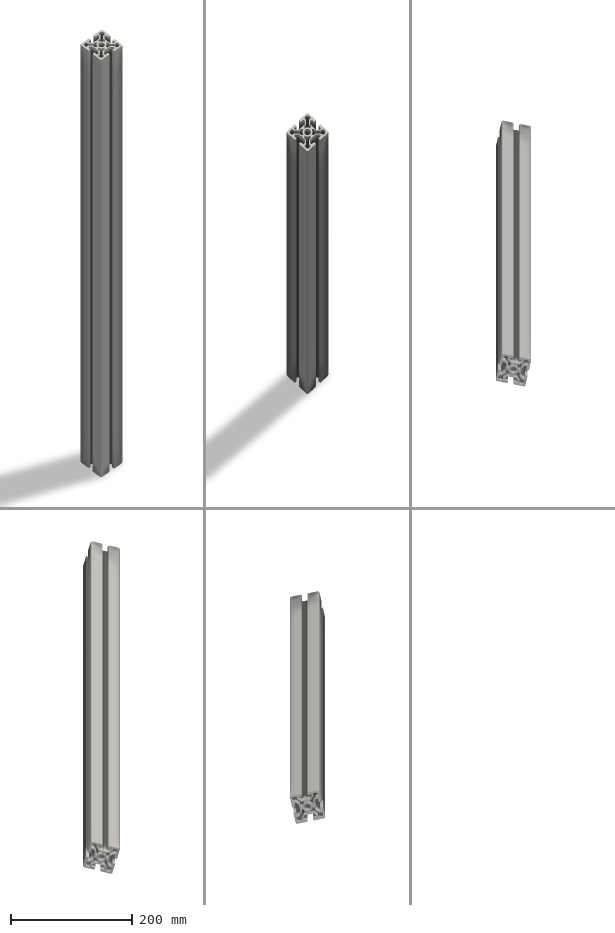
import cadquery as cq
import math

side = 50.0
length = 1000.0
corner_radius = 2.5

mouth_width = 9.8
mouth_radius = 0.5
lip_thickness = 4.5
chamber_width = 22.0
flank_start_depth = 8.0
slot_depth = 12.0
groove_width = 1.8
groove_depth = 0.8

corner_wall = 2.85
hollow_size = 8.35
hollow_outer_radius = 4.4
hollow_side_radius = 2.6
channel_offset = 3.3
floor_thickness = 1.6
rib_outer_width = 6.6
rib_inner_width = 3.0

bore_radius = 5.5
tube_radius = 8.1

half = side / 2
mouth = mouth_width / 2
roof = half - lip_thickness
chamber = chamber_width / 2
flank_start = half - flank_start_depth
floor = half - slot_depth
floor_half = chamber - (flank_start - floor)
groove = groove_width / 2
hollow_outer = half - corner_wall
hollow_inner = hollow_outer - hollow_size
pocket_outer = floor - floor_thickness
rib_outer = rib_outer_width / 2
rib_inner = rib_inner_width / 2
rib_foot = math.sqrt(tube_radius**2 - rib_inner**2)
diagonal = math.sqrt(0.5)
arc_sag = 1 - diagonal


def slot_half():
    """Right half of the T-slot on the +Y side, from the slot's middle plane outwards."""
    sag = mouth_radius * arc_sag
    return (
        cq.Workplane("XY")
        .moveTo(0, half)
        .lineTo(mouth + mouth_radius, half)
        .threePointArc((mouth + sag, half - sag), (mouth, half - mouth_radius))
        .lineTo(mouth, roof)
        .lineTo(chamber, roof)
        .lineTo(chamber, flank_start)
        .lineTo(floor_half, floor)
        .lineTo(groove, floor)
        .lineTo(0, floor - groove_depth)
        .close()
        .extrude(length)
    )


def corner_hollow():
    """Hollow of the +X +Y corner with its channel and the pockets on both sides of the diagonal."""
    outer_sag = hollow_outer_radius * arc_sag
    side_sag = hollow_side_radius * arc_sag
    return (
        cq.Workplane("XY")
        .moveTo(hollow_outer - hollow_outer_radius, hollow_outer)
        .lineTo(hollow_inner + hollow_side_radius, hollow_outer)
        .threePointArc(
            (hollow_inner + side_sag, hollow_outer - side_sag),
            (hollow_inner, hollow_outer - hollow_side_radius),
        )
        .lineTo(hollow_inner, hollow_inner + channel_offset)
        .lineTo(pocket_outer - channel_offset, pocket_outer)
        .lineTo(rib_outer, pocket_outer)
        .lineTo(rib_inner, rib_foot)
        .threePointArc((tube_radius * diagonal, tube_radius * diagonal), (rib_foot, rib_inner))
        .lineTo(pocket_outer, rib_outer)
        .lineTo(pocket_outer, pocket_outer - channel_offset)
        .lineTo(hollow_inner + channel_offset, hollow_inner)
        .lineTo(hollow_outer - hollow_side_radius, hollow_inner)
        .threePointArc(
            (hollow_outer - side_sag, hollow_inner + side_sag),
            (hollow_outer, hollow_inner + hollow_side_radius),
        )
        .lineTo(hollow_outer, hollow_outer - hollow_outer_radius)
        .threePointArc(
            (hollow_outer - outer_sag, hollow_outer - outer_sag),
            (hollow_outer - hollow_outer_radius, hollow_outer),
        )
        .close()
        .extrude(length)
    )


blank = cq.Workplane("XY").rect(side, side).extrude(length).edges("|Z").fillet(corner_radius)
bore = cq.Workplane("XY").circle(bore_radius).extrude(length)
slot = slot_half().union(slot_half().mirror("YZ"))
hollow = corner_hollow()

result = blank.cut(bore)
for quarter in range(4):
    turn = 90 * quarter
    result = result.cut(slot.rotate((0, 0, 0), (0, 0, 1), turn))
    result = result.cut(hollow.rotate((0, 0, 0), (0, 0, 1), turn))